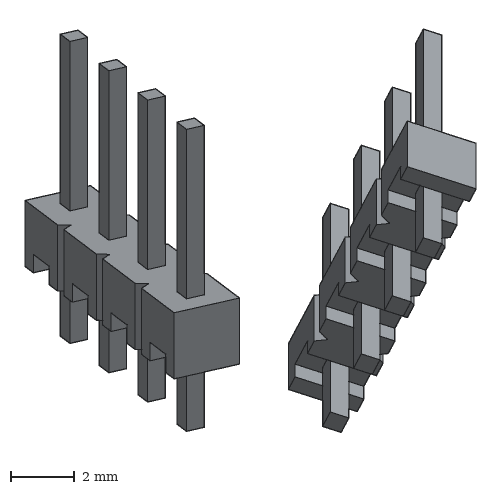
import cadquery as cq

pin_count = 4
pitch = 2.54
pin_side = 0.64
pin_length = 10.42
body_length = 9.75
body_depth = 2.34
body_height = 2.28
body_bottom = 2.29
slot_width = 1.02
slot_height = 0.64
notch_width = 0.42
notch_depth = 0.36

pin_positions = [(i - (pin_count - 1) / 2) * pitch for i in range(pin_count)]
notch_positions = [x + pitch / 2 for x in pin_positions[:-1]]


def upright_box(x, width, depth, bottom, height):
    """Box centred on (x, 0), standing on the level z = bottom."""
    return (
        cq.Workplane("XY", origin=(x, 0, bottom))
        .box(width, depth, height, centered=(True, True, False))
    )


def break_notch(x, side):
    """Full-height V notch in the long face on the given side (-1 or +1 in Y)."""
    face_y = side * body_depth / 2
    return (
        cq.Workplane("XY", origin=(0, 0, body_bottom))
        .moveTo(x - notch_width / 2, face_y)
        .lineTo(x + notch_width / 2, face_y)
        .lineTo(x, face_y - side * notch_depth)
        .close()
        .extrude(body_height)
    )


body = upright_box(0, body_length, body_depth, body_bottom, body_height)
for x in notch_positions:
    for side in (-1, 1):
        body = body.cut(break_notch(x, side))

for x in pin_positions:
    body = body.cut(upright_box(x, slot_width, body_depth, body_bottom, slot_height))

result = body
for x in pin_positions:
    result = result.union(upright_box(x, pin_side, pin_side, 0, pin_length))